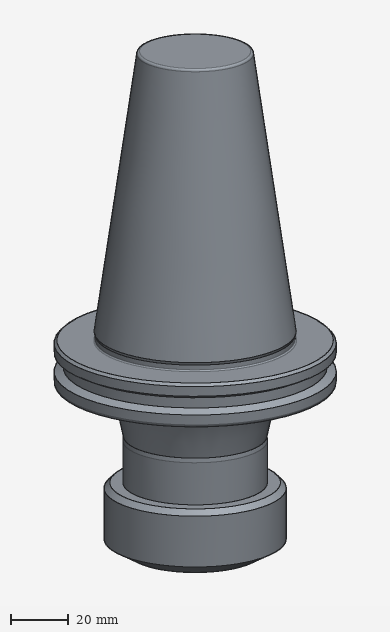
import cadquery as cq
import math


GAUGE_RADIUS = 69.85 / 2
TAPER_LENGTH = 101.75
TAPER_SLOPE = 7 / 48
TIP_ROUND = 1.0

COLLAR_STEP = 0.35
COLLAR_CONE_LENGTH = 1.0
COLLAR_FILLET = 0.5

FLANGE_RADIUS = 97.5 / 2
FLANGE_TOP_Z = -3.2
FLANGE_BOTTOM_Z = -19.1
FLANGE_CHAMFER = 1.0
FLANGE_ROUND = 1.0

GROOVE_CENTER_Z = -11.1
GROOVE_MOUTH_WIDTH = 6.8
GROOVE_FLOOR_WIDTH = 3.7
GROOVE_FLOOR_RADIUS = 91.25 / 2

NECK_RADIUS = 25.0
FLARE_TOP_RADIUS = 30.05
FLARE_TOP_Z = -20.4
FLARE_BOTTOM_Z = -38.0
FLARE_ARC_RADIUS = 80.0
FLARE_ROOT_RADIUS = 32.0
FLARE_RELIEF_DEPTH = 0.2
FLARE_RELIEF_LENGTH = 1.6

NUT_RADIUS = 63 / 2
NUT_TOP_Z = -54.9
NUT_BOTTOM_Z = -80.0
NUT_CHAMFER = 2.0
NUT_CONE_HEIGHT = 4.65
NUT_CONE_ANGLE = 30.0


def spin(outline):
    """Full turn of a closed XZ outline around the Z axis."""
    return outline.revolve(360, (0, 0, 0), (0, 1, 0))


def arc_midpoint(start, end, radius):
    """Middle of the arc that runs from start to end, bulging towards the axis."""
    dx = end[0] - start[0]
    dz = end[1] - start[1]
    chord = math.hypot(dx, dz)
    sagitta = radius - math.sqrt(radius**2 - (chord / 2) ** 2)
    middle_x = (start[0] + end[0]) / 2 + sagitta * dz / chord
    middle_z = (start[1] + end[1]) / 2 - sagitta * dx / chord
    return middle_x, middle_z


def make_shank():
    tip_radius = GAUGE_RADIUS - TAPER_LENGTH * TAPER_SLOPE
    taper_outline = (
        cq.Workplane("XZ")
        .lineTo(GAUGE_RADIUS, 0)
        .lineTo(tip_radius, TAPER_LENGTH)
        .lineTo(0, TAPER_LENGTH)
        .close()
    )
    taper = spin(taper_outline).faces(">Z").edges().fillet(TIP_ROUND)

    collar_radius = GAUGE_RADIUS - COLLAR_STEP
    foot_radius = collar_radius + COLLAR_FILLET
    foot_start = (collar_radius, FLANGE_TOP_Z + COLLAR_FILLET)
    foot_end = (foot_radius, FLANGE_TOP_Z)
    collar_outline = (
        cq.Workplane("XZ")
        .lineTo(GAUGE_RADIUS, 0)
        .lineTo(collar_radius, -COLLAR_CONE_LENGTH)
        .lineTo(*foot_start)
        .threePointArc(arc_midpoint(foot_start, foot_end, COLLAR_FILLET), foot_end)
        .lineTo(0, FLANGE_TOP_Z)
        .close()
    )
    return taper.union(spin(collar_outline))


def make_flange():
    disc = (
        cq.Workplane("XY")
        .workplane(offset=FLANGE_BOTTOM_Z)
        .circle(FLANGE_RADIUS)
        .extrude(FLANGE_TOP_Z - FLANGE_BOTTOM_Z)
        .faces(">Z")
        .edges()
        .chamfer(FLANGE_CHAMFER)
        .faces("<Z")
        .edges()
        .fillet(FLANGE_ROUND)
    )
    half_mouth = GROOVE_MOUTH_WIDTH / 2
    half_floor = GROOVE_FLOOR_WIDTH / 2
    groove_outline = (
        cq.Workplane("XZ")
        .moveTo(FLANGE_RADIUS, GROOVE_CENTER_Z + half_mouth)
        .lineTo(GROOVE_FLOOR_RADIUS, GROOVE_CENTER_Z + half_floor)
        .lineTo(GROOVE_FLOOR_RADIUS, GROOVE_CENTER_Z - half_floor)
        .lineTo(FLANGE_RADIUS, GROOVE_CENTER_Z - half_mouth)
        .close()
    )
    return disc.cut(spin(groove_outline))


def make_neck():
    root_fillet_radius = FLARE_ROOT_RADIUS - FLARE_TOP_RADIUS
    root = (FLARE_ROOT_RADIUS, FLANGE_BOTTOM_Z)
    flare_top = (FLARE_TOP_RADIUS, FLARE_TOP_Z)
    flare_bottom = (NECK_RADIUS - FLARE_RELIEF_DEPTH, FLARE_BOTTOM_Z)
    outline = (
        cq.Workplane("XZ")
        .moveTo(0, FLANGE_BOTTOM_Z)
        .lineTo(*root)
        .threePointArc(arc_midpoint(root, flare_top, root_fillet_radius), flare_top)
        .threePointArc(arc_midpoint(flare_top, flare_bottom, FLARE_ARC_RADIUS), flare_bottom)
        .lineTo(NECK_RADIUS, FLARE_BOTTOM_Z - FLARE_RELIEF_LENGTH)
        .lineTo(NECK_RADIUS, NUT_TOP_Z)
        .lineTo(0, NUT_TOP_Z)
        .close()
    )
    return spin(outline)


def make_nut():
    cone_inset = NUT_CONE_HEIGHT / math.tan(math.radians(NUT_CONE_ANGLE))
    cone_top_z = NUT_BOTTOM_Z + NUT_CONE_HEIGHT
    outline = (
        cq.Workplane("XZ")
        .moveTo(0, NUT_TOP_Z)
        .lineTo(NUT_RADIUS, NUT_TOP_Z)
        .lineTo(NUT_RADIUS, cone_top_z)
        .lineTo(NUT_RADIUS - cone_inset, NUT_BOTTOM_Z)
        .lineTo(0, NUT_BOTTOM_Z)
        .close()
    )
    return spin(outline).faces(">Z").edges().chamfer(NUT_CHAMFER)


result = make_shank().union(make_flange()).union(make_neck()).union(make_nut())